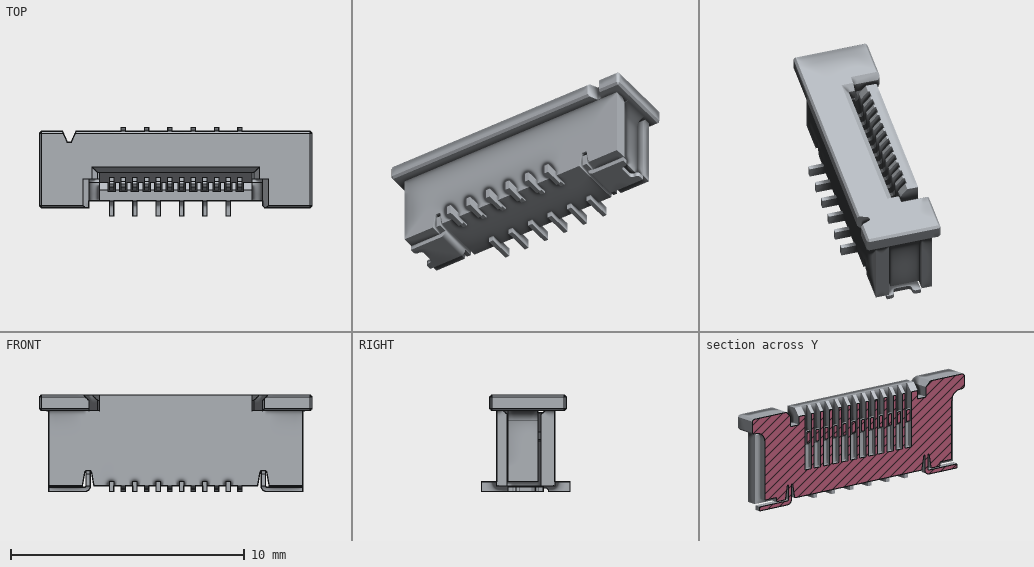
import cadquery as cq


PLATE_LENGTH = 11.7
TOTAL_DEPTH = 3.8
TOP = 4.15
PLATE_BOTTOM = 3.47
PLATE_FRONT = -1.55
PLATE_BACK = 1.74
PLATE_CHAMFER = 0.09

NOTCH_HALF = 3.72
NOTCH_BACK = -0.3
MOUTH_BEVEL = 0.25

MARK_X = -4.56
MARK_HALF_MOUTH = 0.29
MARK_HALF_FLOOR = 0.08
MARK_DEPTH = 0.47

HOUSING_HALF = 5.45
HOUSING_DEPTH = 2.5
HOUSING_BOTTOM = 0.25
HOUSING_FRONT = -HOUSING_DEPTH / 2

SLOT_HALF = 3.28
PLATE_SLOT_HALF = 3.35
SLOT_BACK = -0.04
SLOT_FRONT = -0.46
SLOT_FLOOR = 1.4
TOWER_FLAT_BACK = -0.77
TOWER_BEVEL_DROP = 0.37

GROOVE_FRONT = -0.8
GROOVE_BACK = 0.65
GROOVE_DEPTH = 0.94
ARM_FRONT = -0.76
ARM_BACK = 0.51
ARM_BOTTOM = 0.43
ARM_RECESS = 0.29
ARM_FILLET = 0.43
GAP_HEIGHT = 0.08
GAP_BEVEL = 0.16
BARB_BOTTOM = 2.16
BARB_LIP_TOP = 2.23
BARB_TOP = 2.55
BARB_REACH = 0.32

CONTACT_COUNT = 12
CONTACT_SPAN = 5.5
PITCH = CONTACT_SPAN / (CONTACT_COUNT - 1)
CONTACT_WIDTH = 0.2
CHANNEL_WIDTH = 0.33
CHANNEL_FRONT = -0.84
NOSE_BACK = -0.25
NOSE_BOTTOM = 2.81
NOSE_TOP = 2.96
NOSE_SLOPE_RISE = 0.35
NOSE_TILT = 0.02
NOSE_STEP_Y = -0.41
CREST_Y = -0.53
CREST_Z = 3.1
CREST_RADIUS = 0.16
BEAM_BACK = -0.62
BEAM_FRONT = -0.77
BEAM_ROOT = 0.12
LEAD_HEIGHT = 0.43
LEAD_INNER_END = 0.64
RELIEF_START = 0.97
RELIEF_HEIGHT = 0.15

CLIP_THICKNESS = 0.2
CLIP_LEG_X = 3.75
BEND_INNER_RADIUS = 0.05
FOOT_HALF_WIDTH = 0.76
LEG_HALF_WIDTH = 1.19
LEG_TOP = 0.91
LEG_BEVEL = 0.15
PRONG_INNER = 0.41
PRONG_LENGTH = 0.35
PRONG_RADIUS = 0.14
WINDOW_HALF_MOUTH = 0.25
WINDOW_HALF_TOP = 0.14
WINDOW_TOP = 0.9
WINDOW_CORNER = 0.06


def block(x0, x1, y0, y1, z0, z1):
    """Box between two opposite corners."""
    return cq.Workplane("XY").box(x1 - x0, y1 - y0, z1 - z0, centered=False).translate((x0, y0, z0))


def prism_along_x(points, x0, x1):
    """Closed (y, z) outline extruded from x0 to x1."""
    return cq.Workplane("YZ", origin=(x0, 0, 0)).polyline(points).close().extrude(x1 - x0)


def prism_along_y(points, y0, y1):
    """Closed (x, z) outline extruded from y0 to y1."""
    return cq.Workplane("XZ", origin=(0, y1, 0)).polyline(points).close().extrude(y1 - y0)


def prism_along_z(points, z0, z1):
    """Closed (x, y) outline extruded from z0 to z1."""
    return cq.Workplane("XY", origin=(0, 0, z0)).polyline(points).close().extrude(z1 - z0)


def mirrored(solid):
    """Copy of an end feature at the opposite X end."""
    return solid.mirror("YZ")


def slider_plate():
    half = PLATE_LENGTH / 2
    plate = block(-half, half, PLATE_FRONT, PLATE_BACK, PLATE_BOTTOM, TOP).edges().chamfer(PLATE_CHAMFER)

    corner_half = NOTCH_HALF + PLATE_CHAMFER
    corner_y = PLATE_FRONT + PLATE_CHAMFER
    plate = plate.cut(prism_along_z([
        (-NOTCH_HALF, NOTCH_BACK), (-NOTCH_HALF, PLATE_FRONT),
        (corner_half, PLATE_FRONT), (NOTCH_HALF, corner_y), (NOTCH_HALF, NOTCH_BACK),
    ], PLATE_BOTTOM, TOP))

    flare_half = NOTCH_HALF + MOUTH_BEVEL
    plate = plate.cut(prism_along_y([
        (-NOTCH_HALF, TOP - MOUTH_BEVEL), (NOTCH_HALF, TOP - MOUTH_BEVEL),
        (flare_half, TOP), (-flare_half, TOP),
    ], PLATE_FRONT, NOTCH_BACK))

    plate = plate.cut(block(-PLATE_SLOT_HALF, PLATE_SLOT_HALF, NOTCH_BACK, SLOT_BACK, PLATE_BOTTOM, TOP))
    mouth_half = PLATE_SLOT_HALF + MOUTH_BEVEL
    mouth_back = SLOT_BACK + MOUTH_BEVEL
    mouth_sides = prism_along_y([
        (-PLATE_SLOT_HALF, TOP - MOUTH_BEVEL), (PLATE_SLOT_HALF, TOP - MOUTH_BEVEL),
        (mouth_half, TOP), (-mouth_half, TOP),
    ], NOTCH_BACK, mouth_back)
    mouth_slope = prism_along_x([
        (NOTCH_BACK, TOP - MOUTH_BEVEL), (SLOT_BACK, TOP - MOUTH_BEVEL), (mouth_back, TOP), (NOTCH_BACK, TOP),
    ], -mouth_half, mouth_half)
    plate = plate.cut(mouth_sides.intersect(mouth_slope))

    return plate.cut(prism_along_z([
        (MARK_X - MARK_HALF_MOUTH, PLATE_BACK), (MARK_X - MARK_HALF_FLOOR, PLATE_BACK - MARK_DEPTH),
        (MARK_X + MARK_HALF_FLOOR, PLATE_BACK - MARK_DEPTH), (MARK_X + MARK_HALF_MOUTH, PLATE_BACK),
    ], PLATE_BOTTOM, TOP))


def housing():
    return block(-HOUSING_HALF, HOUSING_HALF, HOUSING_FRONT, -HOUSING_FRONT, HOUSING_BOTTOM, PLATE_BOTTOM)


def tower():
    """Front wall of the cable slot, sloping down towards the slot."""
    return prism_along_x([
        (HOUSING_FRONT, PLATE_BOTTOM), (HOUSING_FRONT, TOP), (TOWER_FLAT_BACK, TOP),
        (SLOT_FRONT, TOP - TOWER_BEVEL_DROP), (SLOT_FRONT, PLATE_BOTTOM),
    ], -SLOT_HALF, SLOT_HALF)


def cable_slot():
    """Blind slot in the housing plus the sloped edge of the ledges beside the tower."""
    slot = block(-SLOT_HALF, SLOT_HALF, SLOT_FRONT, SLOT_BACK, SLOT_FLOOR, PLATE_BOTTOM)
    ledge_drop = NOTCH_BACK - SLOT_FRONT
    ledge_slope = prism_along_x([
        (SLOT_FRONT, PLATE_BOTTOM), (NOTCH_BACK, PLATE_BOTTOM), (NOTCH_BACK, PLATE_BOTTOM - ledge_drop),
    ], -NOTCH_HALF, NOTCH_HALF)
    return slot.union(ledge_slope)


def end_groove():
    """Groove in the -X end face, widened at its top edges."""
    inner_x = GROOVE_DEPTH - HOUSING_HALF
    bevel_bottom = PLATE_BOTTOM - GAP_BEVEL
    return prism_along_x([
        (GROOVE_FRONT, HOUSING_BOTTOM), (GROOVE_FRONT, bevel_bottom),
        (GROOVE_FRONT - GAP_BEVEL, PLATE_BOTTOM),
        (GROOVE_BACK + GAP_BEVEL, PLATE_BOTTOM), (GROOVE_BACK, bevel_bottom), (GROOVE_BACK, HOUSING_BOTTOM),
    ], -HOUSING_HALF, inner_x)


def clearance_tunnel():
    """Thin gap under the plate, open from end to end, behind the slider arms."""
    gap_bottom = PLATE_BOTTOM - GAP_HEIGHT
    return prism_along_x([
        (ARM_BACK, gap_bottom), (ARM_BACK, PLATE_BOTTOM), (GROOVE_BACK + GAP_BEVEL, PLATE_BOTTOM),
        (GROOVE_BACK + GAP_BEVEL - GAP_HEIGHT, gap_bottom),
    ], -HOUSING_HALF, HOUSING_HALF)


def slider_arm():
    """Arm hanging from the plate in the -X groove, filleted into the plate, with a barb behind it."""
    face_x = ARM_RECESS - HOUSING_HALF
    inner_x = GROOVE_DEPTH - HOUSING_HALF
    arm = (
        cq.Workplane("XZ", origin=(0, ARM_BACK, 0))
        .moveTo(inner_x, ARM_BOTTOM)
        .lineTo(face_x, ARM_BOTTOM)
        .lineTo(face_x, PLATE_BOTTOM - ARM_FILLET)
        .radiusArc((face_x - ARM_FILLET, PLATE_BOTTOM), -ARM_FILLET)
        .lineTo(inner_x, PLATE_BOTTOM)
        .close()
        .extrude(ARM_BACK - ARM_FRONT)
    )
    barb_x = inner_x - BARB_REACH
    barb = prism_along_y([
        (inner_x, BARB_BOTTOM), (barb_x, BARB_BOTTOM), (barb_x, BARB_LIP_TOP), (inner_x, BARB_TOP),
    ], ARM_BACK, GROOVE_BACK)
    return arm.union(barb)


def contact_channel(x):
    """Channel in the tower and front wall that gives one contact room to flex."""
    half = CHANNEL_WIDTH / 2
    return block(x - half, x + half, CHANNEL_FRONT, SLOT_FRONT, SLOT_FLOOR, TOP)


def contact_beam(x):
    """Spring beam rising from the slot floor, with a stepped nose that leans into the slot."""
    shoulder = (CREST_Y - CREST_RADIUS, CREST_Z - CREST_RADIUS)
    return (
        cq.Workplane("YZ", origin=(x - CONTACT_WIDTH / 2, 0, 0))
        .moveTo(BEAM_FRONT, SLOT_FLOOR - BEAM_ROOT)
        .lineTo(BEAM_BACK, SLOT_FLOOR - BEAM_ROOT)
        .lineTo(BEAM_BACK, NOSE_BOTTOM - NOSE_SLOPE_RISE)
        .lineTo(NOSE_BACK, NOSE_BOTTOM)
        .lineTo(NOSE_BACK, NOSE_TOP)
        .lineTo(NOSE_STEP_Y, NOSE_TOP + NOSE_TILT)
        .lineTo(CREST_Y, CREST_Z)
        .radiusArc(shoulder, -CREST_RADIUS)
        .lineTo(BEAM_FRONT, shoulder[1] - NOSE_TILT)
        .close()
        .extrude(CONTACT_WIDTH)
    )


def front_lead(x):
    """Straight solder lead leaving the front of the housing."""
    half = CONTACT_WIDTH / 2
    return block(x - half, x + half, -TOTAL_DEPTH / 2, -LEAD_INNER_END, 0, LEAD_HEIGHT)


def back_lead(x):
    """Solder lead leaving the back of the housing, relieved underneath at its inner end."""
    half = CONTACT_WIDTH / 2
    lead = block(x - half, x + half, LEAD_INNER_END, TOTAL_DEPTH / 2, 0, LEAD_HEIGHT)
    relief_corner = RELIEF_HEIGHT / 2
    return lead.cut(prism_along_x([
        (LEAD_INNER_END, 0), (LEAD_INNER_END, RELIEF_HEIGHT), (RELIEF_START - relief_corner, RELIEF_HEIGHT),
        (RELIEF_START, RELIEF_HEIGHT - relief_corner), (RELIEF_START, 0),
    ], x - half, x + half))


def clip_window():
    """Tapered slit across the housing bottom around the clip leg at the -X end."""
    shoulder_z = WINDOW_TOP - WINDOW_CORNER
    return prism_along_y([
        (-CLIP_LEG_X - WINDOW_HALF_MOUTH, HOUSING_BOTTOM), (-CLIP_LEG_X - WINDOW_HALF_TOP, shoulder_z),
        (-CLIP_LEG_X - CLIP_THICKNESS / 2, WINDOW_TOP), (-CLIP_LEG_X + CLIP_THICKNESS / 2, WINDOW_TOP),
        (-CLIP_LEG_X + WINDOW_HALF_TOP, shoulder_z), (-CLIP_LEG_X + WINDOW_HALF_MOUTH, HOUSING_BOTTOM),
    ], HOUSING_FRONT, -HOUSING_FRONT)


def solder_clip():
    """Bent strip at the -X end: a forked foot on the solder plane and a wide leg in the housing."""
    outer_x = CLIP_THICKNESS / 2 - CLIP_LEG_X
    inner_x = outer_x - CLIP_THICKNESS
    bend_outer = BEND_INNER_RADIUS + CLIP_THICKNESS
    strip = (
        cq.Workplane("XZ", origin=(0, FOOT_HALF_WIDTH, 0))
        .moveTo(-HOUSING_HALF, 0)
        .lineTo(outer_x - bend_outer, 0)
        .radiusArc((outer_x, bend_outer), -bend_outer)
        .lineTo(outer_x, LEG_TOP)
        .lineTo(inner_x, LEG_TOP)
        .lineTo(inner_x, bend_outer)
        .radiusArc((inner_x - BEND_INNER_RADIUS, CLIP_THICKNESS), BEND_INNER_RADIUS)
        .lineTo(-HOUSING_HALF, CLIP_THICKNESS)
        .close()
        .extrude(2 * FOOT_HALF_WIDTH)
    )

    fork_x = PRONG_LENGTH - HOUSING_HALF
    fork = block(-HOUSING_HALF, fork_x, -PRONG_INNER, PRONG_INNER, 0, CLIP_THICKNESS)
    fork = fork.edges("|Z and >X").fillet(PRONG_RADIUS)
    strip = strip.cut(fork)
    margin = 0.01
    prong_inner_corners = cq.selectors.BoxSelector(
        (-HOUSING_HALF - margin, -PRONG_INNER - margin, 0),
        (-HOUSING_HALF + margin, PRONG_INNER + margin, CLIP_THICKNESS),
    )
    strip = strip.edges("|Z").edges(prong_inner_corners).fillet(PRONG_RADIUS)

    bevel_start = LEG_HALF_WIDTH - LEG_BEVEL
    leg = prism_along_x([
        (-LEG_HALF_WIDTH, bend_outer), (-LEG_HALF_WIDTH, LEG_TOP - LEG_BEVEL), (-bevel_start, LEG_TOP),
        (bevel_start, LEG_TOP), (LEG_HALF_WIDTH, LEG_TOP - LEG_BEVEL), (LEG_HALF_WIDTH, bend_outer),
    ], inner_x, outer_x)
    return strip.union(leg)


result = housing().cut(cable_slot()).cut(end_groove()).cut(mirrored(end_groove()))
result = result.cut(clip_window()).cut(mirrored(clip_window()))
result = result.union(slider_arm()).union(mirrored(slider_arm())).cut(clearance_tunnel())
result = result.union(slider_plate()).union(tower())

for index in range(CONTACT_COUNT):
    contact_x = index * PITCH - CONTACT_SPAN / 2
    lead = front_lead(contact_x) if index % 2 == 0 else back_lead(contact_x)
    result = result.cut(contact_channel(contact_x))
    result = result.union(contact_beam(contact_x)).union(lead)

result = result.union(solder_clip()).union(mirrored(solder_clip()))